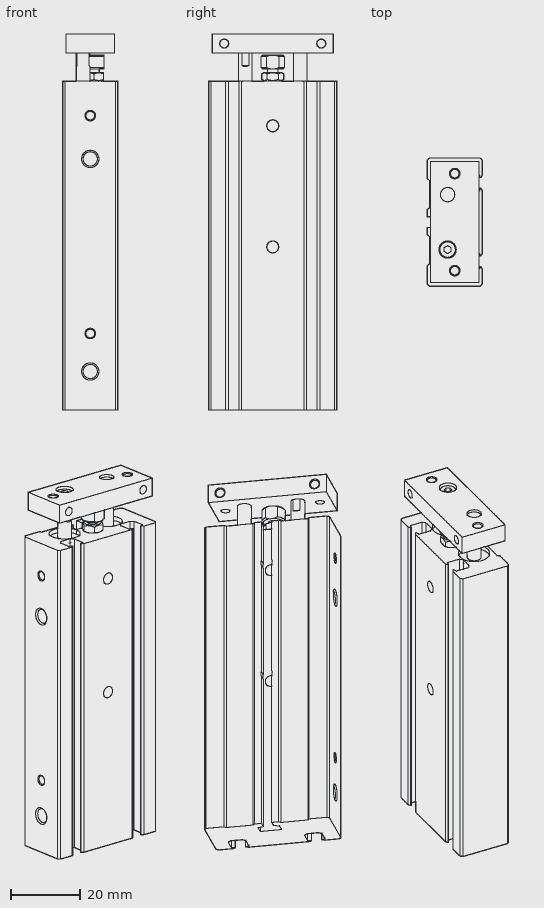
import cadquery as cq
import math

TOTAL_HEIGHT = 108.5
HOUSING_WIDTH = 16.0
HOUSING_DEPTH = 37.0
HOUSING_HEIGHT = 94.9
HOUSING_CHAMFER = 0.7

PLATE_WIDTH = 14.1
PLATE_DEPTH = 34.9
PLATE_THICKNESS = 5.5

HOUSING_BOTTOM = -TOTAL_HEIGHT / 2
HOUSING_TOP = HOUSING_BOTTOM + HOUSING_HEIGHT
PLATE_TOP = TOTAL_HEIGHT / 2
PLATE_BOTTOM = PLATE_TOP - PLATE_THICKNESS
FACE_X = HOUSING_WIDTH / 2

RELIEF_DEPTH = 0.7
RELIEF_INNER_Y = 3.6
RELIEF_OUTER_Y = 12.6
RELIEF_SLOPE = 0.5

SLOT_MOUTH = 3.0
SLOT_DEPTH = 5.6

MIDDLE_SLOT_WIDTH = 6.3
MIDDLE_SLOT_LIP = 2.4
MIDDLE_SLOT_BEVEL = 0.5

SIDE_SLOT_Y = 11.3
SIDE_SLOT_WIDTH = 5.2
SIDE_SLOT_LIP = 0.7
SIDE_SLOT_LIP_BEVEL = 0.3
SIDE_SLOT_FLOOR_BEVEL = 0.9
SIDE_SLOT_ENTRY_DEPTH = 0.4
SIDE_SLOT_ENTRY_SPREAD = 0.8

ROD_X = -2.1
ROD_Y = 7.9
ROD_DIAMETER = 4.0
ROD_BORE_DIAMETER = 9.0
ROD_BORE_DEPTH = 1.3
ROD_FLAT_SPACING = 3.5
ROD_FLAT_LENGTH = 3.6

CROSS_HOLE_DIAMETER = 3.4
CROSS_HOLE_Z = (27.8, -7.2)

MOUTH_ANGLE = 90.0
DRILL_POINT_ANGLE = 118.0
TAPPED_DIAMETER = 2.5
TAPPED_MOUTH = 3.0
TAPPED_DEPTH = 4.3
TAPPED_Z = (30.7, -32.1)
PORT_DIAMETER = 4.1
PORT_MOUTH = 5.0
PORT_DEPTH = 4.3
PORT_Z = (18.2, -43.1)

BOLT_X = 1.1
BOLT_NECK_DIAMETER = 3.0
NUT_FLATS = 5.5
NUT_HEIGHT = 2.5
BOLT_HEAD_DIAMETER = 6.8
BOLT_HEAD_FLATS = 5.9
BOLT_HEAD_HEIGHT = 4.0
BOLT_HEAD_GAP = 0.5
HEAD_CHAMFER = 0.4
NUT_END_DIAMETER = 5.0
NUT_BEVEL_HEIGHT = 0.4

PLATE_HOLE_Y = 14.0
ROD_HOLE_DIAMETER = 4.1
ROD_HOLE_DEPTH = 0.8
SCREW_HOLE_DIAMETER = 5.0
SCREW_HEAD_DIAMETER = 4.5
SCREW_RECESS_DEPTH = 0.8
SCREW_GAP_DEPTH = 0.9
SOCKET_FLATS = 2.0
SOCKET_DEPTH = 1.6


def cylinder(diameter, height, x, y, bottom):
    """Vertical cylinder that stands at height `bottom`."""
    return cq.Workplane("XY", origin=(x, y, bottom)).circle(diameter / 2).extrude(height)


def hexagon(across_flats, height, x, y, bottom):
    """Vertical hexagonal prism with two corners on the Y direction."""
    across_corners = across_flats / math.cos(math.pi / 6)
    prism = cq.Workplane("XY").polygon(6, across_corners).extrude(height)
    return prism.rotate((0, 0, 0), (0, 0, 1), 90).translate((x, y, bottom))


def full_height_prism(outline):
    """Prism over an XY outline, as tall as the housing."""
    base = cq.Workplane("XY", origin=(0, 0, HOUSING_BOTTOM))
    return base.polyline(outline).close().extrude(HOUSING_HEIGHT)


def mirrored_slot(face_direction, y, half_outline):
    """Full-height slot cut in from the X face on side `face_direction`, mirrored about its centre at `y`.

    `half_outline` lists (depth below the face, distance from the slot centre) from mouth to floor.
    """
    other_half = [(depth, -offset) for depth, offset in reversed(half_outline)]
    outline = [
        (face_direction * (FACE_X - depth), y + offset)
        for depth, offset in half_outline + other_half
    ]
    return full_height_prism(outline)


def middle_slot():
    """Square-cornered slot in the middle of the -X face."""
    mouth = SLOT_MOUTH / 2
    inner = MIDDLE_SLOT_WIDTH / 2
    half_outline = [
        (0, mouth),
        (MIDDLE_SLOT_LIP, mouth),
        (MIDDLE_SLOT_LIP + MIDDLE_SLOT_BEVEL, inner),
        (SLOT_DEPTH, inner),
    ]
    return mirrored_slot(-1, 0, half_outline)


def side_slot(side):
    """Slot with a bevelled floor and a chamfered mouth in the +X face, on side `side` of Y."""
    mouth = SLOT_MOUTH / 2
    inner = SIDE_SLOT_WIDTH / 2
    half_outline = [
        (0, mouth + SIDE_SLOT_ENTRY_SPREAD),
        (SIDE_SLOT_ENTRY_DEPTH, mouth),
        (SIDE_SLOT_LIP, mouth),
        (SIDE_SLOT_LIP + SIDE_SLOT_LIP_BEVEL, inner),
        (SLOT_DEPTH - SIDE_SLOT_FLOOR_BEVEL, inner),
        (SLOT_DEPTH, inner - SIDE_SLOT_FLOOR_BEVEL),
    ]
    return mirrored_slot(1, side * SIDE_SLOT_Y, half_outline)


def relief_band(side):
    """Shallow full-height band on the -X face, on side `side` of the middle slot."""
    outline = [
        (-FACE_X, side * RELIEF_INNER_Y),
        (-FACE_X + RELIEF_DEPTH, side * (RELIEF_INNER_Y + RELIEF_SLOPE)),
        (-FACE_X + RELIEF_DEPTH, side * (RELIEF_OUTER_Y - RELIEF_SLOPE)),
        (-FACE_X, side * RELIEF_OUTER_Y),
    ]
    return full_height_prism(outline)


def drilled_hole(diameter, mouth_diameter, depth, z):
    """Blind hole in the -Y face with a chamfered mouth and a conical end."""
    radius = diameter / 2
    mouth_radius = mouth_diameter / 2
    face_y = -HOUSING_DEPTH / 2
    mouth_depth = (mouth_radius - radius) / math.tan(math.radians(MOUTH_ANGLE / 2))
    point = radius / math.tan(math.radians(DRILL_POINT_ANGLE / 2))
    outline = [
        (0, face_y),
        (mouth_radius, face_y),
        (radius, face_y + mouth_depth),
        (radius, face_y + depth),
        (0, face_y + depth + point),
    ]
    return (
        cq.Workplane("XY", origin=(0, 0, z))
        .polyline(outline)
        .close()
        .revolve(360, (0, 0, 0), (0, 1, 0))
    )


def lock_nut():
    """Hex nut that rests on the housing, its corners turned down at both ends."""
    corner_radius = NUT_FLATS / math.cos(math.pi / 6) / 2
    end_radius = NUT_END_DIAMETER / 2
    outline = [
        (0, 0),
        (end_radius, 0),
        (corner_radius, NUT_BEVEL_HEIGHT),
        (corner_radius, NUT_HEIGHT - NUT_BEVEL_HEIGHT),
        (end_radius, NUT_HEIGHT),
        (0, NUT_HEIGHT),
    ]
    envelope = (
        cq.Workplane("XZ", origin=(BOLT_X, 0, HOUSING_TOP))
        .polyline(outline)
        .close()
        .revolve(360, (0, 0, 0), (0, 1, 0))
    )
    return hexagon(NUT_FLATS, NUT_HEIGHT, BOLT_X, 0, HOUSING_TOP).intersect(envelope)


def stop_bolt():
    """Bolt with a round, two-flat head above its lock nut."""
    head_bottom = PLATE_BOTTOM - BOLT_HEAD_GAP - BOLT_HEAD_HEIGHT
    neck = cylinder(BOLT_NECK_DIAMETER, head_bottom - HOUSING_TOP, BOLT_X, 0, HOUSING_TOP)
    head = cylinder(BOLT_HEAD_DIAMETER, BOLT_HEAD_HEIGHT, BOLT_X, 0, head_bottom)
    head = head.edges().chamfer(HEAD_CHAMFER)
    between_flats = (
        cq.Workplane("XY", origin=(BOLT_X, 0, head_bottom))
        .rect(BOLT_HEAD_FLATS, BOLT_HEAD_DIAMETER)
        .extrude(BOLT_HEAD_HEIGHT)
    )
    return neck.union(lock_nut()).union(head.intersect(between_flats))


def make_housing():
    """Cylinder body with its slots, holes and stop bolt."""
    body = (
        cq.Workplane("XY", origin=(0, 0, HOUSING_BOTTOM))
        .rect(HOUSING_WIDTH, HOUSING_DEPTH)
        .extrude(HOUSING_HEIGHT)
        .edges("|Z")
        .chamfer(HOUSING_CHAMFER)
    )
    bore_floor = HOUSING_TOP - ROD_BORE_DEPTH
    body = body.cut(middle_slot())
    for side in (-1, 1):
        body = body.cut(relief_band(side))
        body = body.cut(side_slot(side))
        body = body.cut(cylinder(ROD_BORE_DIAMETER, ROD_BORE_DEPTH, ROD_X, side * ROD_Y, bore_floor))
    for z in CROSS_HOLE_Z:
        cross_hole = (
            cq.Workplane("YZ", origin=(-FACE_X, 0, z))
            .circle(CROSS_HOLE_DIAMETER / 2)
            .extrude(HOUSING_WIDTH)
        )
        body = body.cut(cross_hole)
    for z in TAPPED_Z:
        body = body.cut(drilled_hole(TAPPED_DIAMETER, TAPPED_MOUTH, TAPPED_DEPTH, z))
    for z in PORT_Z:
        body = body.cut(drilled_hole(PORT_DIAMETER, PORT_MOUTH, PORT_DEPTH, z))
    return body.union(stop_bolt())


def rod_flat(direction):
    """Cutter for the wrench flat on side `direction` of X of the -Y rod, with a 45 degree run-out."""
    flat_x = ROD_X + direction * ROD_FLAT_SPACING / 2
    outer_x = ROD_X + direction * ROD_DIAMETER / 2
    flat_bottom = PLATE_BOTTOM - ROD_FLAT_LENGTH
    flat_depth = (ROD_DIAMETER - ROD_FLAT_SPACING) / 2
    outline = [
        (flat_x, PLATE_BOTTOM),
        (flat_x, flat_bottom),
        (outer_x, flat_bottom - flat_depth),
        (outer_x, PLATE_BOTTOM),
    ]
    profile = cq.Workplane("XZ", origin=(0, -ROD_Y, 0)).polyline(outline).close()
    return profile.extrude(ROD_DIAMETER / 2, both=True)


def make_plate():
    """End plate with chamfered through holes near both ends and the recesses above the rods."""
    middle_z = (PLATE_TOP + PLATE_BOTTOM) / 2
    hole_places = [(-PLATE_HOLE_Y, 0), (PLATE_HOLE_Y, 0)]
    plate = cq.Workplane("XY").box(PLATE_WIDTH, PLATE_DEPTH, PLATE_THICKNESS)
    plate = plate.translate((0, 0, middle_z))
    plate = (
        plate.faces("<X").workplane(origin=(0, 0, middle_z))
        .pushPoints(hole_places)
        .cskHole(TAPPED_DIAMETER, TAPPED_MOUTH, MOUTH_ANGLE)
    )
    plate = (
        plate.faces(">Z").workplane(origin=(0, 0, PLATE_TOP))
        .pushPoints([(0, along_y) for along_y, _ in hole_places])
        .cskHole(TAPPED_DIAMETER, TAPPED_MOUTH, MOUTH_ANGLE)
    )
    rod_recess_floor = PLATE_TOP - ROD_HOLE_DEPTH
    return plate.cut(cylinder(ROD_HOLE_DIAMETER, ROD_HOLE_DEPTH, ROD_X, ROD_Y, rod_recess_floor))


def cut_screw(plate):
    """Cut the screw recess above the -Y rod, the gap around the screw head and its hex socket."""
    screw_top = PLATE_TOP - SCREW_RECESS_DEPTH
    gap_bottom = screw_top - SCREW_GAP_DEPTH
    gap = cylinder(SCREW_HOLE_DIAMETER, PLATE_TOP - gap_bottom, ROD_X, -ROD_Y, gap_bottom)
    head = cylinder(SCREW_HEAD_DIAMETER, SCREW_GAP_DEPTH, ROD_X, -ROD_Y, gap_bottom)
    socket = hexagon(SOCKET_FLATS, SOCKET_DEPTH, ROD_X, -ROD_Y, screw_top - SOCKET_DEPTH)
    return plate.cut(gap.cut(head)).cut(socket)


def make_plunger():
    """End plate with two rods that stand on the bottoms of the housing bores."""
    body = cut_screw(make_plate())
    rod_bottom = HOUSING_TOP - ROD_BORE_DEPTH
    for side in (-1, 1):
        rod = cylinder(ROD_DIAMETER, PLATE_BOTTOM - rod_bottom, ROD_X, side * ROD_Y, rod_bottom)
        body = body.union(rod)
    for direction in (-1, 1):
        body = body.cut(rod_flat(direction))
    return body


housing = make_housing()
plunger = make_plunger()

result = cq.Compound.makeCompound([housing.solids().val(), plunger.solids().val()])